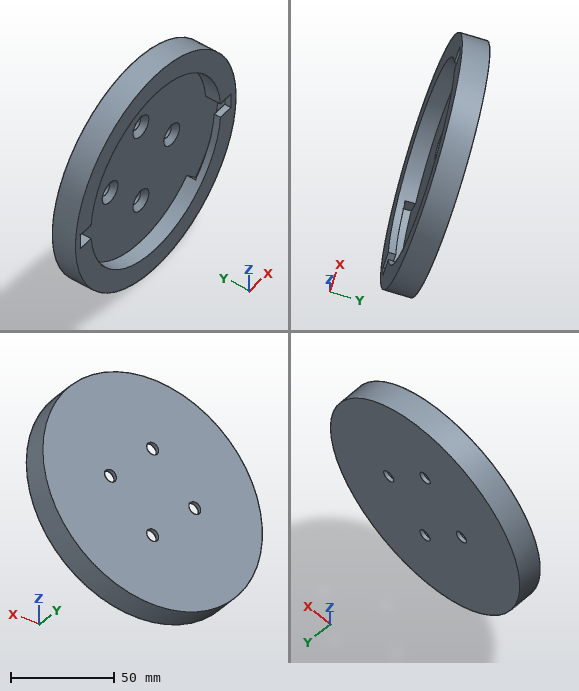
import cadquery as cq
import math

disc_diameter = 130.0
disc_thickness = 14.0
front_y = -disc_thickness / 2

recess_diameter = 105.0
recess_depth = 9.0
notch_span = 121.7
notch_width = 9.1

groove_diameter = 125.0
lip_thickness = 3.8
groove_sweep = 45.0

hole_count = 4
hole_circle_diameter = 49.9
hole_diameter = 6.9
sink_diameter = 12.7
sink_angle = 90.0


def face_plane(depth):
    """Plane at a depth behind the front face, with its normal pointing into the disc."""
    return cq.Workplane(cq.Plane(origin=(0, front_y + depth, 0), xDir=(1, 0, 0), normal=(0, 1, 0)))


def make_recess():
    pocket = face_plane(0).circle(recess_diameter / 2).extrude(recess_depth)
    notches = face_plane(0).rect(notch_span, notch_width).extrude(recess_depth)
    return pocket.union(notches)


def make_groove():
    """Sector below the +X notch, from the notch centre line to the stop."""
    radius = groove_diameter / 2
    middle = math.radians(groove_sweep / 2)
    end = math.radians(groove_sweep)
    return (
        face_plane(lip_thickness)
        .moveTo(0, 0)
        .lineTo(radius, 0)
        .threePointArc(
            (radius * math.cos(middle), radius * math.sin(middle)),
            (radius * math.cos(end), radius * math.sin(end)),
        )
        .close()
        .extrude(recess_depth - lip_thickness)
    )


disc = face_plane(0).circle(disc_diameter / 2).extrude(disc_thickness)
disc = disc.cut(make_recess())

groove = make_groove()
for turn in (0, 180):
    disc = disc.cut(groove.rotate((0, 0, 0), (0, 1, 0), turn))

floor = cq.Workplane(cq.Plane(origin=(0, front_y + recess_depth, 0), xDir=(1, 0, 0), normal=(0, -1, 0)))
result = (
    floor.add(disc)
    .polarArray(hole_circle_diameter / 2, 0, 360, hole_count)
    .cskHole(hole_diameter, sink_diameter, sink_angle)
)